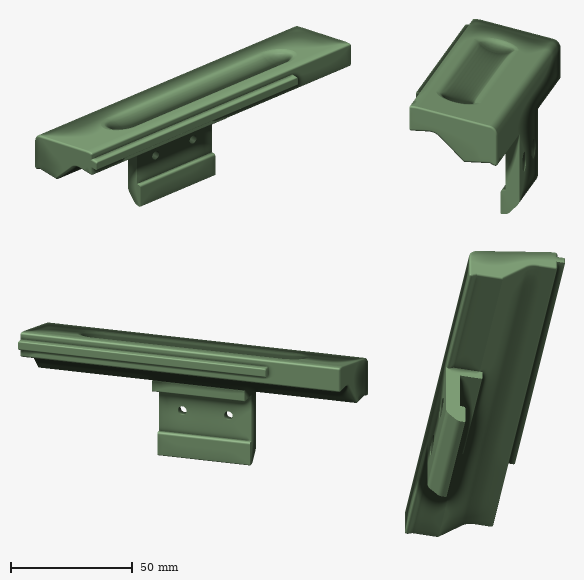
import cadquery as cq
import math

body_length = 138.5
total_height = 57.5
body_width = 36.8
body_bottom = 34.8
nose_bottom = 47.0
underside_width = 14.0
underside_angle = 45.0
top_angle = 12.2
top_break_x = 34.5
top_blend_radius = 13.8
shoulder_radius = 4.0
underside_blend_radius = 7.0
edge_radius = 0.8

lip_drop = 1.0
lip_flat_end = 1.4
lip_slope_end = 3.2

tongue_reach = 40.0
tongue_bottom = 51.1
tongue_top = 54.8
tongue_end_y = 38.2
tongue_edge_radius = 0.5

feature_center_y = 0.5
clip_width = 40.0
clip_thickness = 5.8
clip_overlap = 1.4
shelf_reach = 15.1
shelf_bottom = 30.2
shelf_corner_radius = 0.5
hook_reach = 8.0
hook_top = 10.1
hook_top_radius = 1.0
hook_bottom_radius = 0.5
hook_toe_radius = 2.6
clip_heel_radius = 4.2
clip_chamfer_height = 5.0

groove_center_x = 21.5
groove_straight = 80.0
groove_radius = 12.0
groove_half_width = 8.0
groove_edge_radius = 4.2

hole_diameter = 3.7
countersink_diameter = 8.3
countersink_angle = 90.0
hole_spacing = 20.0
hole_z = 20.0

pick_margin = 0.1
rim_pick_margin = 0.8

top_slope = math.tan(math.radians(top_angle))


def top_z(x):
    """Height of the sloping top plane at x."""
    return total_height - (top_break_x - x) * top_slope


def extrude_profile(points, width, center_y):
    """Extrude an XZ outline along Y, centred on center_y."""
    outline = cq.Workplane("XZ", origin=(0, center_y, 0)).polyline(points).close()
    return outline.extrude(width / 2, both=True)


def round_edge(solid, x, z, radius):
    """Fillet the edge parallel to Y that passes through (x, z)."""
    near_edge = cq.selectors.BoxSelector(
        (x - pick_margin, -body_length, z - pick_margin),
        (x + pick_margin, body_length, z + pick_margin),
    )
    return solid.edges(near_edge).edges("|Y").fillet(radius)


def make_body():
    rise = nose_bottom - body_bottom
    underside_break_x = underside_width + rise / math.tan(math.radians(underside_angle))
    lip_bottom = body_bottom - lip_drop
    points = [
        (0, lip_bottom),
        (lip_flat_end, lip_bottom),
        (lip_slope_end, body_bottom),
        (underside_width, body_bottom),
        (underside_break_x, nose_bottom),
        (body_width, nose_bottom),
        (body_width, total_height),
        (top_break_x, total_height),
        (0, top_z(0)),
    ]
    body = extrude_profile(points, body_length, 0)
    body = round_edge(body, top_break_x, total_height, top_blend_radius)
    body = round_edge(body, 0, top_z(0), shoulder_radius)
    body = round_edge(body, underside_break_x, nose_bottom, underside_blend_radius)
    for z in (nose_bottom, total_height):
        body = round_edge(body, body_width, z, edge_radius)
    body = round_edge(body, 0, lip_bottom, edge_radius)
    return body.faces("<Y or >Y").edges().fillet(edge_radius)


def make_tongue():
    root_x = body_width - edge_radius
    tongue = cq.Workplane("XY").box(
        tongue_reach - root_x,
        tongue_end_y + body_length / 2,
        tongue_top - tongue_bottom,
        centered=False,
    ).translate((root_x, -body_length / 2, tongue_bottom))
    tongue = tongue.faces(">Z").edges("|X").fillet(edge_radius)
    return tongue.faces(">X").edges().fillet(tongue_edge_radius)


def make_clip():
    points = [
        (0, clip_chamfer_height),
        (clip_chamfer_height, 0),
        (hook_reach, 0),
        (hook_reach, hook_top),
        (clip_thickness, hook_top),
        (clip_thickness, shelf_bottom),
        (shelf_reach, shelf_bottom),
        (shelf_reach, body_bottom),
        (clip_thickness, body_bottom),
        (clip_thickness, body_bottom + clip_overlap),
        (0, body_bottom + clip_overlap),
    ]
    clip = extrude_profile(points, clip_width, feature_center_y)
    clip = round_edge(clip, 0, clip_chamfer_height, clip_heel_radius)
    clip = round_edge(clip, clip_chamfer_height, 0, hook_toe_radius)
    clip = round_edge(clip, hook_reach, 0, hook_bottom_radius)
    clip = round_edge(clip, hook_reach, hook_top, hook_top_radius)
    return round_edge(clip, shelf_reach, shelf_bottom, shelf_corner_radius)


def make_groove_cutter():
    """Channel with spherical ends, its axis floating above the sloping top."""
    center_height = math.sqrt(groove_radius**2 - groove_half_width**2)
    tilt = math.radians(top_angle)
    axis_x = groove_center_x - center_height * math.sin(tilt)
    axis_z = top_z(groove_center_x) + center_height * math.cos(tilt)
    half_straight = groove_straight / 2
    half_section = (
        cq.Workplane("YZ")
        .moveTo(-half_straight - groove_radius, 0)
        .radiusArc((-half_straight, groove_radius), groove_radius)
        .lineTo(half_straight, groove_radius)
        .radiusArc((half_straight + groove_radius, 0), groove_radius)
        .close()
    )
    cutter = half_section.revolve(360, (0, 0, 0), (1, 0, 0))
    return cutter.translate((axis_x, feature_center_y, axis_z))


def cut_groove(body):
    """Sink the finger groove and soften its rim."""
    grooved = body.cut(make_groove_cutter())
    reach_x = groove_half_width + rim_pick_margin
    reach_y = groove_straight / 2 + reach_x
    left_x = groove_center_x - reach_x
    right_x = groove_center_x + reach_x
    around_rim = cq.selectors.BoxSelector(
        (left_x, feature_center_y - reach_y, top_z(left_x)),
        (right_x, feature_center_y + reach_y, top_z(right_x)),
    )
    return grooved.edges(around_rim).fillet(groove_edge_radius)


def make_screw_hole(center_y):
    """Cutter for one hole through the clip, countersunk from its outer face."""
    hole_radius = hole_diameter / 2
    sink_radius = countersink_diameter / 2
    sink_depth = (sink_radius - hole_radius) / math.tan(math.radians(countersink_angle / 2))
    half_section = cq.Workplane("XY").polyline([
        (0, 0),
        (0, sink_radius),
        (sink_depth, hole_radius),
        (clip_thickness, hole_radius),
        (clip_thickness, 0),
    ]).close()
    return half_section.revolve(360, (0, 0, 0), (1, 0, 0)).translate((0, center_y, hole_z))


result = cut_groove(make_body())
result = result.union(make_tongue()).union(make_clip())
for side in (-1, 1):
    result = result.cut(make_screw_hole(feature_center_y + side * hole_spacing / 2))